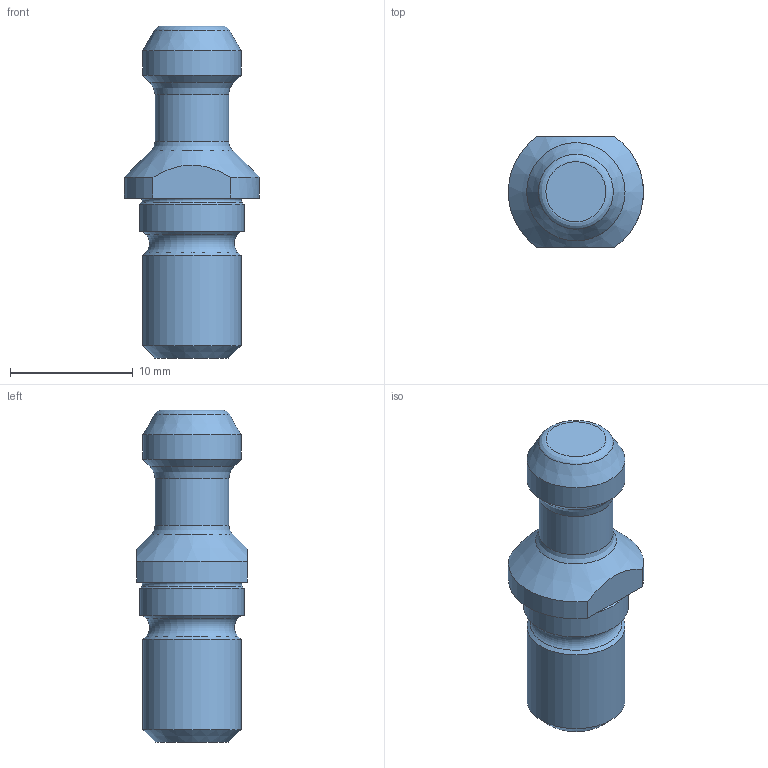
import cadquery as cq
import math


top_height = 14.0
knob_radius = 4.0
knob_upper_edge = 12.0
knob_lower_edge = 10.0
knob_taper = math.radians(30)
knob_top_fillet = 0.7
neck_radius = 3.0
neck_upper_fillet = 1.4
neck_lower_fillet = 1.0

flange_radius = 5.5
flange_edge_height = 1.7
across_flats = 9.0

collar_radius = 4.25
collar_top = -0.5
collar_bottom = -2.7
relief_round = 0.2

shank_radius = 4.0
shank_bottom = -13.0
shank_chamfer = 1.0

undercut_width = 1.95
undercut_round = 1.0

diagonal = math.sqrt(0.5)


def round_circle_at(body, height, fillet_radius):
    """Fillet the circular edge that lies at the given height."""
    tolerance = 0.01
    low_corner = (-flange_radius, -flange_radius, height - tolerance)
    high_corner = (flange_radius, flange_radius, height + tolerance)
    thin_slab = cq.selectors.BoxSelector(low_corner, high_corner, boundingbox=True)
    return body.edges(thin_slab).fillet(fillet_radius)


def make_turned_body():
    """Revolve the half outline, running from the bottom up to the top."""
    undercut_middle = collar_bottom - undercut_width / 2
    undercut_bottom = collar_bottom - undercut_width
    round_half_width = undercut_round * diagonal
    round_end_radius = shank_radius - (undercut_width / 2 - round_half_width)
    undercut_floor_radius = round_end_radius - undercut_round * (1 - diagonal)
    knob_top_radius = knob_radius - (top_height - knob_upper_edge) * math.tan(knob_taper)
    neck_top = knob_lower_edge - (knob_radius - neck_radius)
    neck_bottom = flange_edge_height + flange_radius - neck_radius
    ramp_end_height = -relief_round * (1 + diagonal)
    ramp_end_radius = collar_radius - (ramp_end_height - collar_top)
    relief_center_radius = ramp_end_radius + relief_round * diagonal

    outline = (
        cq.Workplane("XZ")
        .moveTo(0, shank_bottom)
        .lineTo(shank_radius - shank_chamfer, shank_bottom)
        .lineTo(shank_radius, shank_bottom + shank_chamfer)
        .lineTo(shank_radius, undercut_bottom)
        .lineTo(round_end_radius, undercut_middle - round_half_width)
        .threePointArc(
            (undercut_floor_radius, undercut_middle),
            (round_end_radius, undercut_middle + round_half_width),
        )
        .lineTo(shank_radius, collar_bottom)
        .lineTo(collar_radius, collar_bottom)
        .lineTo(collar_radius, collar_top)
        .lineTo(ramp_end_radius, ramp_end_height)
        .threePointArc(
            (relief_center_radius - relief_round, -relief_round),
            (relief_center_radius, 0),
        )
        .lineTo(flange_radius, 0)
        .lineTo(flange_radius, flange_edge_height)
        .lineTo(neck_radius, neck_bottom)
        .lineTo(neck_radius, neck_top)
        .lineTo(knob_radius, knob_lower_edge)
        .lineTo(knob_radius, knob_upper_edge)
        .lineTo(knob_top_radius, top_height)
        .lineTo(0, top_height)
        .close()
    )
    body = outline.revolve(360, (0, 0, 0), (0, 1, 0))
    body = round_circle_at(body, neck_bottom, neck_lower_fillet)
    body = round_circle_at(body, neck_top, neck_upper_fillet)
    return round_circle_at(body, top_height, knob_top_fillet)


def make_flats_envelope():
    """Block whose Y faces cut the two wrench flats on the flange."""
    height = top_height - shank_bottom
    return cq.Workplane("XY", origin=(0, 0, shank_bottom)).box(
        2 * flange_radius, across_flats, height, centered=(True, True, False)
    )


result = make_turned_body().intersect(make_flats_envelope())